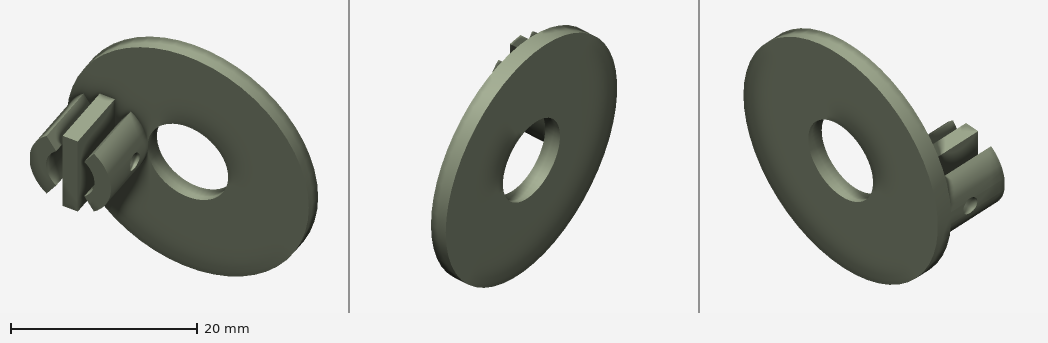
import cadquery as cq
import math

disc_diameter = 30.0
bore_diameter = 10.0
total_depth = 10.0
disc_thickness = 2.0
post_length = total_depth - disc_thickness

sleeve_outer_diameter = 10.1
sleeve_inner_diameter = 6.0
sleeve_x = -10.0
jaw_half_angle = 54.5

bar_width = 1.85
bar_height = 10.0

pin_diameter = 2.1
pin_distance = 2.85


def jaw(side):
    """Ring sector from the disc face toward -Y; side is -1 or +1 along X."""
    angle = math.radians(jaw_half_angle)

    def sector_point(radius, direction):
        x = sleeve_x + side * radius * math.cos(angle * direction)
        return (x, radius * math.sin(angle * direction))

    outer = sleeve_outer_diameter / 2
    inner = sleeve_inner_diameter / 2
    return (
        cq.Workplane("XZ")
        .moveTo(*sector_point(outer, -1))
        .threePointArc(sector_point(outer, 0), sector_point(outer, 1))
        .lineTo(*sector_point(inner, 1))
        .threePointArc(sector_point(inner, 0), sector_point(inner, -1))
        .close()
        .extrude(post_length)
    )


disc = (
    cq.Workplane("XZ")
    .circle(disc_diameter / 2)
    .circle(bore_diameter / 2)
    .extrude(-disc_thickness)
)

bar = (
    cq.Workplane("XZ")
    .center(sleeve_x, 0)
    .rect(bar_width, bar_height)
    .extrude(post_length)
)

pin_hole = (
    cq.Workplane("YZ", origin=(sleeve_x, -pin_distance, 0))
    .circle(pin_diameter / 2)
    .extrude(sleeve_outer_diameter, both=True)
)

result = disc.union(bar)
for side in (-1, 1):
    result = result.union(jaw(side))

rim_envelope = (
    cq.Workplane("XZ", origin=(0, disc_thickness, 0))
    .circle(disc_diameter / 2)
    .extrude(total_depth)
)
result = result.intersect(rim_envelope).cut(pin_hole)